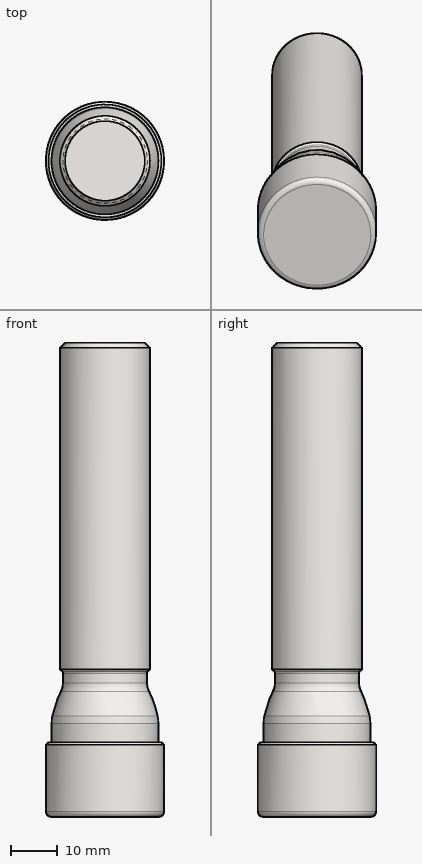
import cadquery as cq
import math

TOTAL_HEIGHT = 101.6

CAP_RADIUS = 12.7
CAP_HEIGHT = 16.1
CAP_TOP_CHAMFER = 0.6
CAP_BOTTOM_FILLET = 1.2

COLLAR_RADIUS = 11.5
COLLAR_TOP = 20.1
FLARE_BOTTOM = 21.6
FLARE_TOP = 26.9
NECK_RADIUS = 9.0
NECK_BOTTOM = 28.8
NECK_TOP = 30.8
NECK_TOP_BLEND_HEIGHT = 0.4
SHANK_RADIUS = 9.7
SHANK_TOP_CHAMFER = 1.1

FLARE_BOTTOM_ANGLE = math.radians(12)
FLARE_TOP_ANGLE = math.radians(26.5)

FLARE_BOTTOM_RADIUS = COLLAR_RADIUS - (FLARE_BOTTOM - COLLAR_TOP) * math.tan(FLARE_BOTTOM_ANGLE / 2)
FLARE_TOP_RADIUS = NECK_RADIUS + (NECK_BOTTOM - FLARE_TOP) * math.tan(FLARE_TOP_ANGLE / 2)

CHAMFER_BOTTOM = NECK_TOP + NECK_TOP_BLEND_HEIGHT
CHAMFER_BOTTOM_RADIUS = NECK_RADIUS + NECK_TOP_BLEND_HEIGHT * math.tan(math.radians(45) / 2)
SHANK_BOTTOM = CHAMFER_BOTTOM + SHANK_RADIUS - CHAMFER_BOTTOM_RADIUS


def make_cap():
    """Solid round cap that carries the stud on its flat top."""
    cap = cq.Workplane("XY").circle(CAP_RADIUS).extrude(CAP_HEIGHT)
    cap = cap.faces(">Z").edges().chamfer(CAP_TOP_CHAMFER)
    return cap.faces("<Z").edges().fillet(CAP_BOTTOM_FILLET)


def make_stud():
    """Turned stud standing on the cap, revolved about Z from its half profile."""
    profile = (
        cq.Workplane("XZ")
        .moveTo(0, CAP_HEIGHT)
        .lineTo(COLLAR_RADIUS, CAP_HEIGHT)
        .lineTo(COLLAR_RADIUS, COLLAR_TOP)
        .tangentArcPoint((FLARE_BOTTOM_RADIUS, FLARE_BOTTOM), relative=False)
        .tangentArcPoint((FLARE_TOP_RADIUS, FLARE_TOP), relative=False)
        .tangentArcPoint((NECK_RADIUS, NECK_BOTTOM), relative=False)
        .lineTo(NECK_RADIUS, NECK_TOP)
        .tangentArcPoint((CHAMFER_BOTTOM_RADIUS, CHAMFER_BOTTOM), relative=False)
        .lineTo(SHANK_RADIUS, SHANK_BOTTOM)
        .lineTo(SHANK_RADIUS, TOTAL_HEIGHT - SHANK_TOP_CHAMFER)
        .lineTo(SHANK_RADIUS - SHANK_TOP_CHAMFER, TOTAL_HEIGHT)
        .lineTo(0, TOTAL_HEIGHT)
        .close()
    )
    return profile.revolve(360, (0, 0, 0), (0, 1, 0))


cap = make_cap()
stud = make_stud()

result = cq.Compound.makeCompound([cap.val(), stud.val()])